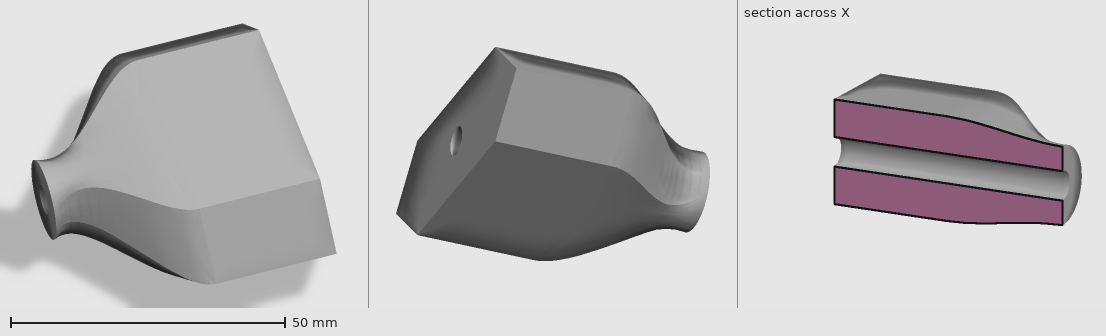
import cadquery as cq
import math

half_width = 28.25
half_flat = 18.25
half_height = 10.0
total_length = 47.0
neck_length = 23.95

outlet_radius = 7.5
bore_radius = 2.75

side_flare = 20.6
corner_flare_x = 24.85
corner_flare_z = -15.8

section_count = 13
points_per_edge = 7

corner_angle = math.atan2(half_height, half_flat)


def mix(start, end, fraction):
    return start + (end - start) * fraction


def blend(start, end, end_drift, s):
    """Cubic that leaves start straight along Y and reaches end with end_drift."""
    step = 3 * s**2 - 2 * s**3
    return mix(start, end, step) + (s**3 - s**2) * end_drift


def side_curve(fraction, s):
    """Point on the sloping face, from the side point (0) to the flat's corner (1)."""
    angle = corner_angle * fraction
    x = blend(
        mix(half_width, half_flat, fraction),
        outlet_radius * math.cos(angle),
        mix(side_flare, corner_flare_x, fraction),
        s,
    )
    z = blend(half_height * fraction, outlet_radius * math.sin(angle), corner_flare_z * fraction, s)
    return x, z


def top_curve(fraction, s):
    """Point on the upper face, from its left corner (-1) to its right corner (1)."""
    angle = math.pi / 2 - (math.pi / 2 - corner_angle) * fraction
    x = blend(half_flat * fraction, outlet_radius * math.cos(angle), corner_flare_x * fraction, s)
    z = blend(half_height, outlet_radius * math.sin(angle), corner_flare_z * fraction**2, s)
    return x, z


def section_wire(s):
    """Closed six-edged section, from the hexagon (s = 0) to the outlet circle (s = 1)."""
    y = neck_length * (1 - s)
    fractions = [i / (points_per_edge - 1) for i in range(points_per_edge)]
    side = [side_curve(f, s) for f in fractions]
    top = [top_curve(1 - 2 * f, s) for f in fractions]
    upper_left = [(-x, z) for x, z in reversed(side)]
    upper = [side, top, upper_left]
    lower = [[(-x, -z) for x, z in run] for run in upper]
    edges = [
        cq.Edge.makeSpline([cq.Vector(x, y, z) for x, z in run])
        for run in upper + lower
    ]
    return cq.Wire.assembleEdges(edges)


def make_body():
    outline = [
        (half_width, 0),
        (half_flat, half_height),
        (-half_flat, half_height),
        (-half_width, 0),
        (-half_flat, -half_height),
        (half_flat, -half_height),
    ]
    return (
        cq.Workplane("XZ", origin=(0, total_length, 0))
        .polyline(outline)
        .close()
        .extrude(total_length - neck_length)
    )


def make_neck():
    sections = [section_wire(i / (section_count - 1)) for i in range(section_count)]
    return cq.Workplane(cq.Solid.makeLoft(sections))


def make_bore():
    return cq.Workplane("XZ", origin=(0, total_length, 0)).circle(bore_radius).extrude(total_length)


result = make_body().union(make_neck()).cut(make_bore())